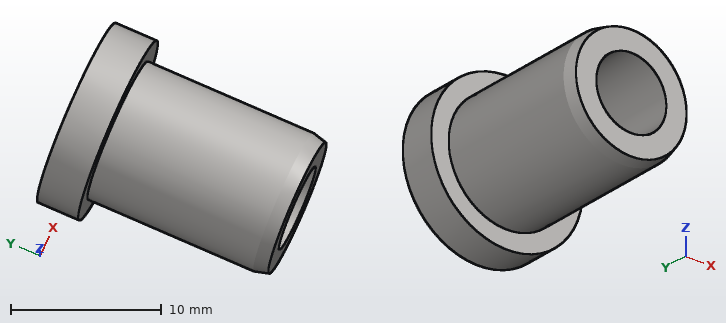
import cadquery as cq
import math

total_length = 16.0
head_diameter = 13.0
head_thickness = 3.0
body_diameter = 10.0
bore_diameter = 6.0

taper_depth = 0.25
taper_angle = 15.0
taper_length = taper_depth / math.tan(math.radians(taper_angle))

head_radius = head_diameter / 2
body_radius = body_diameter / 2
bore_radius = bore_diameter / 2
head_start = total_length - head_thickness

half_section = [
    (bore_radius, 0),
    (body_radius - taper_depth, 0),
    (body_radius, taper_length),
    (body_radius, head_start),
    (head_radius, head_start),
    (head_radius, total_length),
    (bore_radius, total_length),
]

result = (
    cq.Workplane("XY")
    .polyline(half_section)
    .close()
    .revolve(360, (0, 0, 0), (0, 1, 0))
)